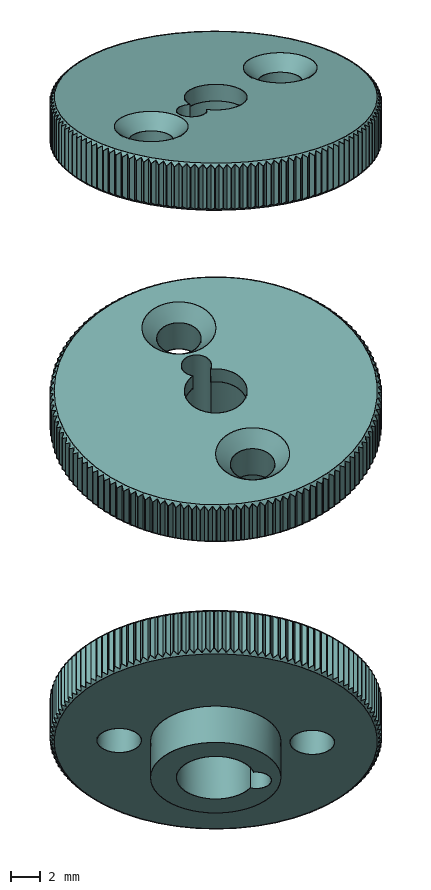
import cadquery as cq
import math

disc_diameter = 22.4
disc_thickness = 3.5
rim_chamfer = 0.3

groove_count = 127
groove_depth = 0.213
groove_angle = 100.0

boss_diameter = 8.8
boss_height = 2.91

bore_diameter = 4.23
bore_depth = 1.23
recess_diameter = 5.3

side_hole_diameter = 2.04
side_hole_center = (-0.99, -2.58)

screw_hole_diameter = 3.0
countersink_diameter = 5.0
countersink_angle = 90.0
screw_hole_x = 2.93
screw_hole_y = 5.82

disc_radius = disc_diameter / 2
total_height = disc_thickness + boss_height


def knurled_outline():
    """Disc outline: a narrow land between each pair of V grooves, the first groove facing +X."""
    half_width = groove_depth * math.tan(math.radians(groove_angle / 2))
    half_span = math.asin(half_width / disc_radius)
    root_radius = disc_radius * math.cos(half_span) - groove_depth
    pitch = 2 * math.pi / groove_count
    points = []
    for index in range(groove_count):
        middle = index * pitch
        groove = (
            (disc_radius, middle - half_span),
            (root_radius, middle),
            (disc_radius, middle + half_span),
        )
        for radius, angle in groove:
            points.append((radius * math.cos(angle), radius * math.sin(angle)))
    return points


def make_disc():
    """Knurled prism trimmed by a chamfered cylinder, so both rims are bevelled across the teeth."""
    knurled = cq.Workplane("XY").polyline(knurled_outline()).close().extrude(disc_thickness)
    envelope = cq.Workplane("XY").circle(disc_radius).extrude(disc_thickness)
    return knurled.intersect(envelope.edges().chamfer(rim_chamfer))


def boss_end_cylinder(diameter, height, center=(0, 0)):
    """Vertical cylinder rising from the lower end of the boss."""
    base = cq.Workplane("XY", origin=(0, 0, -boss_height))
    return base.center(*center).circle(diameter / 2).extrude(height)


def cut_screw_holes(body):
    """Countersunk holes sunk from the top face of the disc."""
    top = body.faces(">Z").workplane(origin=(0, 0, disc_thickness))
    centers = [(screw_hole_x, screw_hole_y), (-screw_hole_x, -screw_hole_y)]
    return top.pushPoints(centers).cskHole(screw_hole_diameter, countersink_diameter, countersink_angle)


body = make_disc().union(boss_end_cylinder(boss_diameter, boss_height))
body = body.cut(boss_end_cylinder(bore_diameter, total_height))
body = body.cut(boss_end_cylinder(recess_diameter, total_height - bore_depth))
body = body.cut(boss_end_cylinder(side_hole_diameter, total_height, side_hole_center))
result = cut_screw_holes(body)